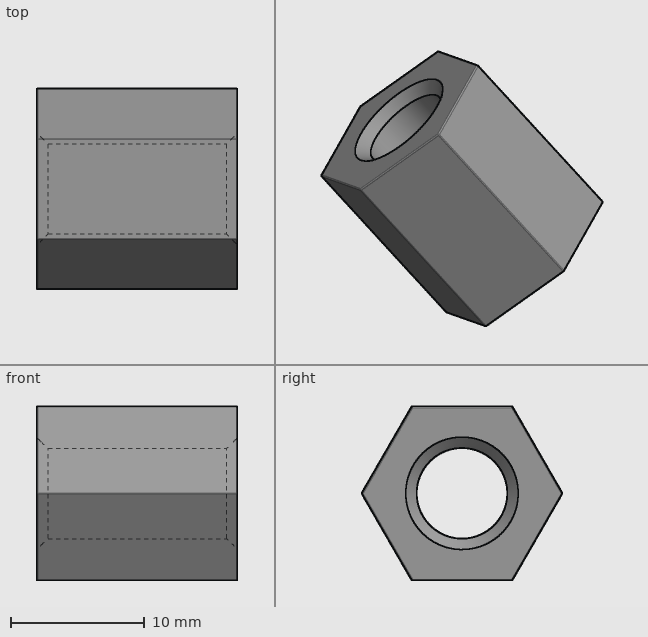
import cadquery as cq
import math

length = 15.0
side_count = 6
across_flats = 13.0
edge_radius = 0.1
bore_diameter = 6.75
countersink_diameter = 8.4
countersink_angle = 90.0

across_corners = across_flats / math.cos(math.pi / side_count)
countersink_width = (countersink_diameter - bore_diameter) / 2
countersink_depth = countersink_width / math.tan(math.radians(countersink_angle / 2))


def make_hex_body():
    """Hexagonal bar with flats facing +Z and -Z and every edge lightly rounded."""
    bar = cq.Workplane("YZ").polygon(side_count, across_corners).extrude(length / 2, both=True)
    return bar.edges().fillet(edge_radius)


def make_bore():
    """Through bore that widens to a conical countersink at both ends, revolved about X."""
    half_length = length / 2
    bore_radius = bore_diameter / 2
    countersink_radius = countersink_diameter / 2
    cone_start = half_length - countersink_depth
    return (
        cq.Workplane("XY")
        .moveTo(-half_length, 0)
        .lineTo(-half_length, countersink_radius)
        .lineTo(-cone_start, bore_radius)
        .lineTo(cone_start, bore_radius)
        .lineTo(half_length, countersink_radius)
        .lineTo(half_length, 0)
        .close()
        .revolve(360, (0, 0, 0), (1, 0, 0))
    )


result = make_hex_body().cut(make_bore())